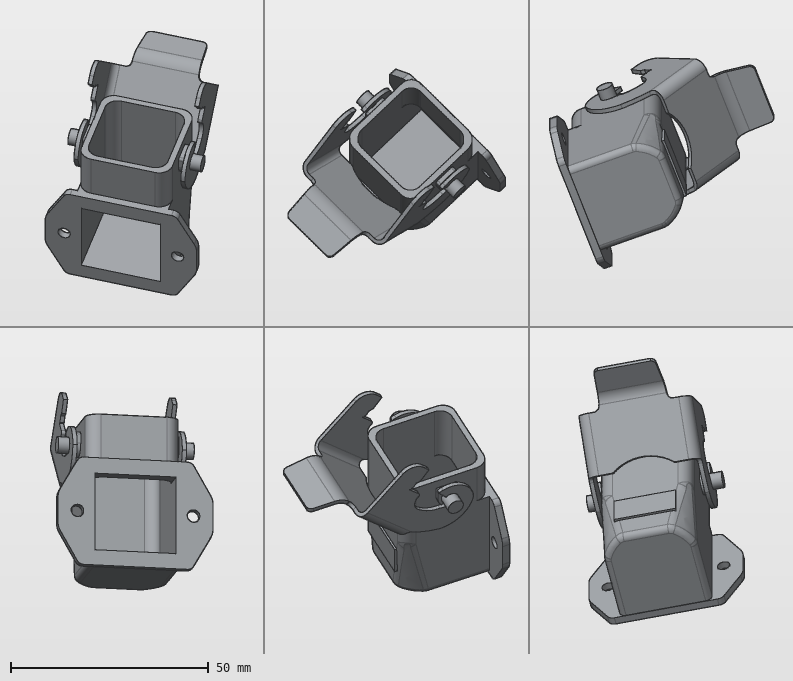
import cadquery as cq
import math


flange_width = 40.0
flange_height = 28.0
flange_thickness = 2.0
flange_top_half_width = 14.5
flange_side_half_height = 4.45
flange_top_radius = 2.0
flange_side_radius = 4.55
screw_hole_diameter = 3.2
screw_hole_offset = 14.95

body_width = 24.0
body_back = flange_thickness + body_width
body_bottom_back = 0.4
body_bottom_front = 0.15
body_top = 40.0
body_corner_radius = 3.5
bottom_fillet = 1.65
wall = 1.55
cavity_corner_radius = 3.3
cavity_width = body_width - 2 * wall
cavity_floor = 3.95
front_window_top = 23.95

relief_height = 34.0
relief_side_run = 6.75
relief_back_run = 5.6
relief_bulge = 0.8
relief_top_scale = 0.1
relief_edge_fillet = 3.3

pad_width = 16.0
pad_bottom = 7.6
pad_top = 15.55
pad_thickness = 0.55

pin_y = 13.9
pin_z = 34.45
pin_diameter = 4.2
pin_span = 35.0
boss_half_width = 3.0
boss_top_fillet = 0.6
boss_clearance = 0.2

lever_width = 29.3
lever_thickness = 1.1
lever_bend_radius = 3.0
lever_length = 16.3
lever_reach = 20.9
lever_end_radius = 4.05
pin_u = 20.2
pin_v = 15.7
arch_width = 16.0
arch_rise = 2.85

arm_end_notch = [(6.25, lever_reach), (6.7, 17.0), (6.15, 16.0), (6.4, 14.15), (5.95, 13.6), (9.45, 13.6)]
notch_lip_arc = [(10.0, 13.4), (10.2, 12.8)]
slot_mouth_arc = [(11.5, 10.05), (14.1, 9.65)]
slot_floor_arc = [(17.0, 10.55), (19.1, 12.3)]
slot_end = (20.9, 13.65)
hook_tip_edge = [(17.9, 15.75), (15.15, 16.0)]
hook_tip_arc = [(15.2, 16.65), (15.5, 17.2)]
hook_top_arc = [(19.7, 20.7), (25.55, 19.2)]
hook_back_arc = [(27.2, 13.75), (24.25, 6.9)]
arm_heel_arc = [(21.15, 4.8), (17.25, lever_bend_radius)]
arm_foot_arc = [(16.55, 2.45), (lever_length, 1.6)]

tab_flat_length = 1.55
tab_bend_radius = 3.85
tab_bend_angle = 50.0
tab_straight_length = 7.1
tab_base_half_width = 8.85
tab_end_half_width = 7.9
tab_neck_radius = 1.45
tab_corner_radius = 1.5

half_body = body_width / 2
cos_45 = math.cos(math.radians(45))


def block(x_size, y_from, y_to, z_from, z_to):
    """A box centred on X = 0."""
    size_y = y_to - y_from
    size_z = z_to - z_from
    return (
        cq.Workplane("XY")
        .box(x_size, size_y, size_z, centered=(True, False, False))
        .translate((0, y_from, z_from))
    )


def make_flange():
    half_width = flange_width / 2
    middle = flange_height / 2
    side_low = middle - flange_side_half_height
    side_high = middle + flange_side_half_height
    outline = [
        (-flange_top_half_width, 0),
        (flange_top_half_width, 0),
        (half_width, side_low),
        (half_width, side_high),
        (flange_top_half_width, flange_height),
        (-flange_top_half_width, flange_height),
        (-half_width, side_high),
        (-half_width, side_low),
    ]
    plate = cq.Workplane("XZ").polyline(outline).close().extrude(-flange_thickness)
    plate = plate.edges("|Y and (<X or >X)").fillet(flange_side_radius)
    plate = plate.edges("|Y and (<Z or >Z)").fillet(flange_top_radius)
    holes = (
        cq.Workplane("XZ")
        .pushPoints([(-screw_hole_offset, middle), (screw_hole_offset, middle)])
        .circle(screw_hole_diameter / 2)
        .extrude(-flange_thickness)
    )
    return plate.cut(holes)


def relief_section(plane, scale):
    """Corner piece bounded by the side, the back and a bulging arc between them."""
    side_run = relief_side_run * scale
    back_run = relief_back_run * scale
    chord = math.hypot(side_run, back_run)
    bulge = relief_bulge * scale
    middle = (
        half_body - back_run / 2 + bulge * side_run / chord,
        body_back - side_run / 2 + bulge * back_run / chord,
    )
    return (
        plane.moveTo(half_body, body_back - side_run)
        .lineTo(half_body, body_back)
        .lineTo(half_body - back_run, body_back)
        .threePointArc(middle, (half_body, body_back - side_run))
    )


def make_relief():
    """Cutter for the lower back corner on the +X side, tapering upwards."""
    lower = relief_section(cq.Workplane("XY"), 1.0).close()
    upper_plane = lower.workplane(offset=relief_height * (1 - relief_top_scale), origin=(0, 0, 0))
    return relief_section(upper_plane, relief_top_scale).close().loft(combine=False, ruled=True)


def make_body():
    profile = [
        (flange_thickness, body_bottom_front),
        (body_back, body_bottom_back),
        (body_back, flange_height),
        (flange_thickness, flange_height),
    ]
    base = cq.Workplane("YZ").polyline(profile).close().extrude(half_body, both=True)
    base = base.edges("|Z and >Y").fillet(body_corner_radius)

    relief = make_relief()
    base = base.cut(relief).cut(relief.mirror("YZ"))
    relief_zone = cq.selectors.BoxSelector(
        (-body_width, body_back - relief_side_run, 0),
        (body_width, body_back, flange_height / 2),
    )
    base = base.faces("<X or >X").edges(relief_zone).fillet(relief_edge_fillet)
    base = base.faces("<Z").edges("not <Y").fillet(bottom_fillet)

    tube = block(body_width, flange_thickness, body_back, flange_height, body_top)
    tube = tube.edges("|Z").fillet(body_corner_radius)
    pad = block(pad_width, body_back - wall, body_back + pad_thickness, pad_bottom, pad_top)
    return base.union(tube).union(pad)


def make_cavity():
    """Square passage down from the top, turning out through the flange."""
    back = body_back - wall
    shaft = block(cavity_width, flange_thickness + wall, back, cavity_floor, body_top)
    shaft = shaft.edges("|Z").fillet(cavity_corner_radius)
    window = block(cavity_width, 0, body_back / 2, cavity_floor, front_window_top)
    return shaft.union(window)


def make_pins():
    boss_top = pin_z + boss_half_width
    boss_span = lever_width - 2 * (lever_thickness + boss_clearance)
    bosses = block(boss_span, pin_y - boss_half_width, pin_y + boss_half_width, pin_z, boss_top)
    bosses = bosses.edges("|X and >Z").fillet(boss_top_fillet)
    axis = cq.Workplane("YZ", origin=(0, pin_y, pin_z))
    rounds = axis.circle(boss_half_width).extrude(boss_span / 2, both=True)
    pins = axis.circle(pin_diameter / 2).extrude(pin_span / 2, both=True)
    housing_core = block(body_width - wall, 0, body_back, 0, body_top)
    return bosses.union(rounds).union(pins).cut(housing_core)


lever_origin = (
    0,
    pin_y + (pin_u + pin_v) * cos_45,
    pin_z + (pin_u - pin_v) * cos_45,
)
side_plane = cq.Plane(origin=lever_origin, xDir=(0, -1, -1), normal=(-1, 0, 0))
back_plane = cq.Plane(origin=lever_origin, xDir=(1, 0, 0), normal=(0, -1, 1))


def make_side_profile():
    """Outline of the side arms, with the open hook that holds the pin."""
    end_corner = lever_end_radius * (1 - cos_45)
    return (
        cq.Workplane(side_plane)
        .moveTo(0, 0)
        .lineTo(0, lever_reach - lever_end_radius)
        .threePointArc((end_corner, lever_reach - end_corner), (lever_end_radius, lever_reach))
        .polyline(arm_end_notch, includeCurrent=True)
        .threePointArc(*notch_lip_arc)
        .threePointArc(*slot_mouth_arc)
        .threePointArc(*slot_floor_arc)
        .lineTo(*slot_end)
        .lineTo(pin_u, pin_v)
        .polyline(hook_tip_edge, includeCurrent=True)
        .threePointArc(*hook_tip_arc)
        .threePointArc(*hook_top_arc)
        .threePointArc(*hook_back_arc)
        .threePointArc(*arm_heel_arc)
        .threePointArc(*arm_foot_arc)
        .lineTo(lever_length, 0)
        .close()
        .extrude(lever_width, both=True)
    )


def make_lever():
    """U-shaped sheet bracket: bent channel trimmed to the side outline."""
    channel_plane = cq.Plane(origin=lever_origin, xDir=(1, 0, 0), normal=(0, -1, -1))
    inner_width = lever_width - 2 * lever_thickness
    channel_size = 2 * lever_reach

    def channel(width, start, radius):
        """Bar along u with rounded edges along its outer face at v = start."""
        half = width / 2
        side = radius * (1 - cos_45)
        return (
            cq.Workplane(channel_plane)
            .moveTo(-half, channel_size)
            .lineTo(-half, start + radius)
            .threePointArc((-half + side, start + side), (-half + radius, start))
            .lineTo(half - radius, start)
            .threePointArc((half - side, start + side), (half, start + radius))
            .lineTo(half, channel_size)
            .close()
            .extrude(channel_size)
        )

    sheet = channel(lever_width, 0, lever_bend_radius)
    sheet = sheet.cut(channel(inner_width, lever_thickness, lever_bend_radius - lever_thickness))
    arch = (
        cq.Workplane(back_plane)
        .moveTo(-arch_width / 2, -lever_length)
        .threePointArc((0, arch_rise - lever_length), (arch_width / 2, -lever_length))
        .close()
        .extrude(lever_thickness)
    )
    return sheet.intersect(make_side_profile()).cut(arch)


def make_tab():
    """Flat neck, a bend and a straight thumb tab with tapered sides."""
    angle = math.radians(tab_bend_angle)

    def bend_point(radius, turn):
        return (
            -tab_flat_length - radius * math.sin(turn),
            radius * math.cos(turn) - tab_bend_radius,
        )

    outer_radius = tab_bend_radius + lever_thickness
    run_u = -tab_straight_length * math.cos(angle)
    run_v = -tab_straight_length * math.sin(angle)
    inner_end = bend_point(tab_bend_radius, angle)
    outer_end = bend_point(outer_radius, angle)
    strip = (
        cq.Workplane(side_plane)
        .moveTo(-tab_flat_length, 0)
        .threePointArc(bend_point(tab_bend_radius, angle / 2), inner_end)
        .line(run_u, run_v)
        .lineTo(outer_end[0] + run_u, outer_end[1] + run_v)
        .lineTo(*outer_end)
        .threePointArc(bend_point(outer_radius, angle / 2), (-tab_flat_length, lever_thickness))
        .close()
        .extrude(tab_base_half_width, both=True)
    )
    base_y = lever_origin[1]
    end_y = strip.val().BoundingBox().ymax
    outline = [
        (-tab_base_half_width, base_y),
        (tab_base_half_width, base_y),
        (tab_end_half_width, end_y),
        (-tab_end_half_width, end_y),
    ]
    trim = cq.Workplane("XY").polyline(outline).close().extrude(2 * body_top)
    trim = trim.edges("|Z and >Y").fillet(tab_corner_radius)

    neck_wide = tab_base_half_width + tab_neck_radius
    neck_side = neck_wide - tab_neck_radius * cos_45
    neck_rise = tab_neck_radius * (1 - cos_45)
    neck = (
        cq.Workplane(back_plane)
        .moveTo(-neck_wide, 0)
        .threePointArc((-neck_side, neck_rise), (-tab_base_half_width, tab_neck_radius))
        .lineTo(-tab_base_half_width, tab_flat_length)
        .lineTo(tab_base_half_width, tab_flat_length)
        .lineTo(tab_base_half_width, tab_neck_radius)
        .threePointArc((neck_side, neck_rise), (neck_wide, 0))
        .close()
        .extrude(lever_thickness)
    )
    return strip.intersect(trim).union(neck)


housing = make_flange().union(make_body()).cut(make_cavity())
result = housing.union(make_pins()).union(make_lever()).union(make_tab())